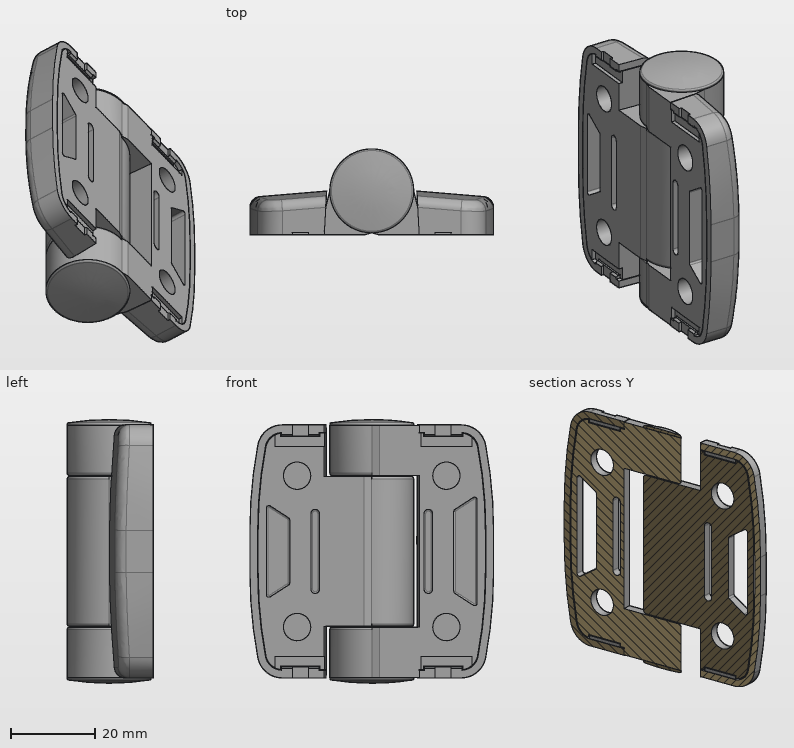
import cadquery as cq
import math

WIDTH = 58.0
COVER_HALF_HEIGHT = 30.12
BARREL_RADIUS = 10.0
BARREL_AXIS_Y = 10.5
BARREL_HALF_LENGTH = 30.0
REACH = 60.0

SIDE_FLAT_HALF = 5.0
SIDE_BOW_RADIUS = 110.0
CORNER_RADIUS = 6.0
INNER_EDGE_FRONT_X = 11.3
INNER_EDGE_BACK_X = 10.7
COVER_BACK_Y = 10.5
BACK_TILT = 4.7
CROWN_RADIUS = 320.0
BACK_FILLET = 2.7
COVER_WALL = 1.85
FIT_GAP = 0.15

LEAF_THICKNESS = 6.8
KNUCKLE_SPLIT_Z = 18.0
KNUCKLE_PLAY = 0.15
KNUCKLE_EDGE_ROUND = 0.6
THROAT_HALF_WIDTH = 1.8
SCREW_HOLE_DIAMETER = 6.5
SCREW_HOLE_DEPTH = 3.8
SCREW_HOLE_X = 17.75
SCREW_HOLE_Z = 18.0
POCKET_DEPTH = 5.8
POCKET_FLOOR_FILLET = 0.4
SLOT_X = 13.45
SLOT_WIDTH = 2.05
SLOT_LENGTH = 20.0
WINDOW_INNER_X = 19.5
WINDOW_OUTER_X = 25.05
WINDOW_DROP = 3.6
WINDOW_CORNER_RADIUS = 0.6
MIDDLE_LEAF_WINDOW_HALF = 11.4
OUTER_LEAF_WINDOW_HALF = 13.4

MIDDLE_LEAF_RECESS_X = (0.0, 22.97)
OUTER_LEAF_RECESS_X = (11.7, 23.85)
RECESS_Z = 25.0
RECESS_DEPTH = 1.0
SNAP_RIB_X = (12.5, 21.5)
SNAP_RIB_Z = 27.45
SNAP_RIB_FRONT_Z = 27.85
SNAP_RIB_CLEARANCE = 0.15
SNAP_RIB_BACK_Y = 2.2
NOTCH_X = (15.05, 18.9)
NOTCH_DEPTH = 0.65

CAP_RIM_HEIGHT = 0.62
CAP_RIM_ROUND = 0.4
CAP_TOP_Z = 31.38


def box(x_range, y_range, z_range):
    """Axis-aligned block between the given limits."""
    size = [high - low for low, high in (x_range, y_range, z_range)]
    corner = (x_range[0], y_range[0], z_range[0])
    return cq.Workplane("XY").box(*size, centered=False).translate(corner)


def plan_block(inset, height):
    """Block with the bowed outline of the left cover, drawn in by `inset`, up to `height`."""
    side_x = -WIDTH / 2 + inset
    end_z = COVER_HALF_HEIGHT - inset
    bow_radius = SIDE_BOW_RADIUS - inset
    bow_center_x = side_x + bow_radius
    bow_angle = math.asin((end_z - SIDE_FLAT_HALF) / bow_radius)

    def bow_point(angle, sign):
        x = bow_center_x - bow_radius * math.cos(angle)
        return (x, sign * (SIDE_FLAT_HALF + bow_radius * math.sin(angle)))

    outline = (
        cq.Workplane("XZ")
        .moveTo(0, end_z)
        .lineTo(*bow_point(bow_angle, 1))
        .threePointArc(bow_point(bow_angle / 2, 1), (side_x, SIDE_FLAT_HALF))
        .lineTo(side_x, -SIDE_FLAT_HALF)
        .threePointArc(bow_point(bow_angle / 2, -1), bow_point(bow_angle, -1))
        .lineTo(0, -end_z)
        .close()
    )
    corner_x = bow_point(bow_angle, 1)[0]
    block = outline.extrude(-height)
    for sign in (1, -1):
        corner = cq.selectors.NearestToPointSelector((corner_x, height / 2, sign * end_z))
        block = block.edges("|Y").edges(corner).fillet(CORNER_RADIUS - inset)
    return block


def inner_edge_x(y):
    """Distance of the slanted inner edge from the hinge centre, at height `y`."""
    return INNER_EDGE_FRONT_X - (INNER_EDGE_FRONT_X - INNER_EDGE_BACK_X) * y / COVER_BACK_Y


def inner_edge_limit():
    """Everything on the outer side of the slanted edge beside the barrel."""
    return (
        cq.Workplane("XY")
        .polyline([
            (-REACH, 0),
            (-INNER_EDGE_FRONT_X, 0),
            (-inner_edge_x(REACH), REACH),
            (-REACH, REACH),
        ])
        .close()
        .extrude(REACH, both=True)
    )


def crown():
    """Large cylinder, tilted down away from the barrel, whose surface forms the cover's back."""
    peak = (-INNER_EDGE_BACK_X, COVER_BACK_Y, 0)
    return (
        cq.Workplane("YZ")
        .center(COVER_BACK_Y - CROWN_RADIUS, 0)
        .circle(CROWN_RADIUS)
        .extrude(REACH, both=True)
        .rotate(peak, (peak[0], peak[1], 1), BACK_TILT)
    )


def snap_ribs(clearance):
    """Ribs inside both end walls of the left cover, enlarged by `clearance`."""
    back_y = SNAP_RIB_BACK_Y + clearance
    wall_z = COVER_HALF_HEIGHT - COVER_WALL
    tip_z = SNAP_RIB_Z - clearance
    rib = (
        cq.Workplane("YZ", origin=(-SNAP_RIB_X[1] - clearance, 0, 0))
        .polyline([
            (0, wall_z),
            (0, SNAP_RIB_FRONT_Z - clearance),
            (NOTCH_DEPTH, tip_z),
            (back_y, tip_z),
            (back_y, wall_z),
        ])
        .close()
        .extrude(SNAP_RIB_X[1] - SNAP_RIB_X[0] + 2 * clearance)
    )
    return rib.union(rib.mirror("XY"))


def make_cover():
    """Left cover: crowned shell with a snap rib and a pry notch in each end wall."""
    shell = plan_block(0, COVER_BACK_Y + BACK_FILLET).intersect(crown())
    back_face = shell.faces(cq.selectors.NearestToPointSelector((-WIDTH / 4, COVER_BACK_Y, 0)))
    shell = back_face.edges().fillet(BACK_FILLET).intersect(inner_edge_limit())
    shell = shell.cut(plan_block(COVER_WALL, LEAF_THICKNESS))
    shell = shell.union(snap_ribs(0))
    notch_z = (SNAP_RIB_Z, REACH)
    notch = box((-NOTCH_X[1], -NOTCH_X[0]), (0, NOTCH_DEPTH), notch_z)
    return shell.cut(notch).cut(notch.mirror("XY"))


def round_floor(pocket):
    """Round the floor edges of a pocket tool that cuts into the mounting face."""
    return pocket.faces(">Y").edges().fillet(POCKET_FLOOR_FILLET)


def slot_pocket():
    """Narrow round-ended slot parallel to the barrel."""
    outline = cq.Workplane("XZ").center(-SLOT_X, 0).slot2D(SLOT_LENGTH, SLOT_WIDTH, 90)
    return round_floor(outline.extrude(-POCKET_DEPTH))


def window_pocket(half_height):
    """Trapezoid pocket, longest on its outer side."""
    inner_half = half_height - WINDOW_DROP
    block = (
        cq.Workplane("XZ")
        .polyline([
            (-WINDOW_OUTER_X, half_height),
            (-WINDOW_INNER_X, inner_half),
            (-WINDOW_INNER_X, -inner_half),
            (-WINDOW_OUTER_X, -half_height),
        ])
        .close()
        .extrude(-POCKET_DEPTH)
    )
    return round_floor(block.edges("|Y").fillet(WINDOW_CORNER_RADIUS))


def knuckle(z_low, z_high, rounded_ends):
    """Barrel section with the plate that joins it to the left leaf and climbs to its side."""
    length = z_high - z_low
    barrel = (
        cq.Workplane("XY", origin=(0, BARREL_AXIS_Y, z_low))
        .circle(BARREL_RADIUS)
        .extrude(length)
        .faces(rounded_ends)
        .edges()
        .fillet(KNUCKLE_EDGE_ROUND)
    )
    plate = (
        cq.Workplane("XY", origin=(0, 0, z_low))
        .polyline([
            (-INNER_EDGE_FRONT_X, 0),
            (-THROAT_HALF_WIDTH, 0),
            (0, BARREL_AXIS_Y - BARREL_RADIUS),
            (0, BARREL_AXIS_Y),
            (-BARREL_RADIUS, BARREL_AXIS_Y),
            (-inner_edge_x(LEAF_THICKNESS), LEAF_THICKNESS),
        ])
        .close()
        .extrude(length)
    )
    return plate.union(barrel)


def leaf_plate(window_half, recess_x):
    """Left leaf without knuckles: plate filling the cover, with pockets, holes and recesses."""
    plate = plan_block(COVER_WALL + FIT_GAP, LEAF_THICKNESS).intersect(inner_edge_limit())
    plate = plate.cut(slot_pocket()).cut(window_pocket(window_half))
    for sign in (1, -1):
        hole = (
            cq.Workplane("XZ")
            .center(-SCREW_HOLE_X, sign * SCREW_HOLE_Z)
            .circle(SCREW_HOLE_DIAMETER / 2)
            .extrude(-SCREW_HOLE_DEPTH)
        )
        plate = plate.cut(hole)
    recess = box((-recess_x[1], -recess_x[0]), (0, RECESS_DEPTH), (RECESS_Z, REACH))
    plate = plate.cut(recess).cut(recess.mirror("XY"))
    return plate.cut(snap_ribs(SNAP_RIB_CLEARANCE))


def make_middle_leaf():
    """Left leaf, carrying the middle knuckle."""
    plate = leaf_plate(MIDDLE_LEAF_WINDOW_HALF, MIDDLE_LEAF_RECESS_X)
    half_length = KNUCKLE_SPLIT_Z - KNUCKLE_PLAY
    return plate.union(knuckle(-half_length, half_length, "|Z"))


def make_outer_leaf():
    """Right leaf, carrying the two end knuckles."""
    end_knuckle = knuckle(KNUCKLE_SPLIT_Z, BARREL_HALF_LENGTH, "<Z")
    plate = leaf_plate(OUTER_LEAF_WINDOW_HALF, OUTER_LEAF_RECESS_X)
    leaf = plate.union(end_knuckle).union(end_knuckle.mirror("XY"))
    return leaf.mirror("YZ")


def make_cap():
    """Upper end cap: low rounded rim under a shallow dome."""
    dome_edge = BARREL_RADIUS - CAP_RIM_ROUND
    rim_top = BARREL_HALF_LENGTH + CAP_RIM_HEIGHT
    rise = CAP_TOP_Z - rim_top
    dome_radius = (dome_edge**2 + rise**2) / (2 * rise)
    half_angle = math.asin(dome_edge / dome_radius) / 2
    dome_mid = (
        dome_radius * math.sin(half_angle),
        CAP_TOP_Z - dome_radius * (1 - math.cos(half_angle)),
    )
    return (
        cq.Workplane("XZ")
        .moveTo(0, BARREL_HALF_LENGTH)
        .lineTo(BARREL_RADIUS, BARREL_HALF_LENGTH)
        .lineTo(BARREL_RADIUS, rim_top - CAP_RIM_ROUND)
        .radiusArc((dome_edge, rim_top), -CAP_RIM_ROUND)
        .threePointArc(dome_mid, (0, CAP_TOP_Z))
        .close()
        .revolve(360, (0, 0, 0), (0, 1, 0))
        .translate((0, BARREL_AXIS_Y, 0))
    )


left_cover = make_cover()
right_cover = left_cover.mirror("YZ")
middle_leaf = make_middle_leaf()
outer_leaf = make_outer_leaf()
top_cap = make_cap()
bottom_cap = top_cap.mirror("XY")

bodies = [left_cover, right_cover, middle_leaf, outer_leaf, top_cap, bottom_cap]
result = cq.Compound.makeCompound([body.val() for body in bodies])